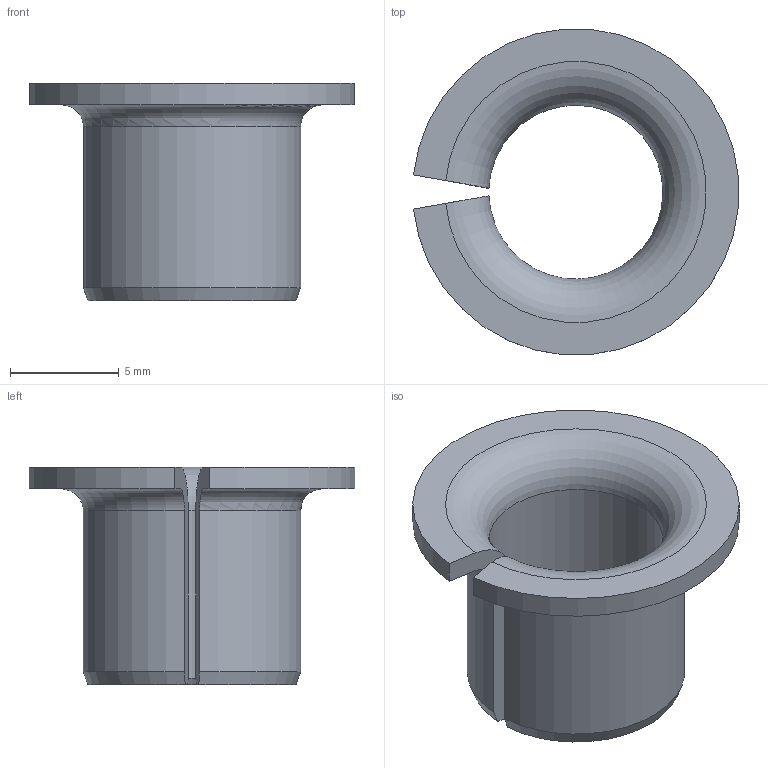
import cadquery as cq
import math

bore_diameter = 8.0
wall = 1.0
flange_diameter = 15.0
length = 10.0
outer_bend_radius = 1.0
lead_in_height = 0.6
lead_in_angle = 20.0
bore_chamfer_height = 0.3
bore_chamfer_angle = 30.0
slit_half_angle = 10.0
slit_apex_x = -3.0

bore_radius = bore_diameter / 2
sleeve_radius = bore_radius + wall
flange_radius = flange_diameter / 2
mouth_radius = outer_bend_radius + wall
lead_in_depth = lead_in_height * math.tan(math.radians(lead_in_angle))
bore_chamfer_depth = bore_chamfer_height * math.tan(math.radians(bore_chamfer_angle))
bend_center_r = sleeve_radius + outer_bend_radius
bend_center_z = length - mouth_radius


def bend_midpoint(radius):
    """Middle of a quarter bend that turns from the sleeve to the flange."""
    offset = radius * math.sqrt(0.5)
    return bend_center_r - offset, bend_center_z + offset


def make_flanged_sleeve():
    """Revolve the wall section about Z, with the seam turned to -X where the slit removes it."""
    profile = (
        cq.Workplane("XZ")
        .moveTo(bore_radius, bore_chamfer_height)
        .lineTo(bore_radius + bore_chamfer_depth, 0)
        .lineTo(sleeve_radius - lead_in_depth, 0)
        .lineTo(sleeve_radius, lead_in_height)
        .lineTo(sleeve_radius, bend_center_z)
        .threePointArc(bend_midpoint(outer_bend_radius), (bend_center_r, length - wall))
        .lineTo(flange_radius, length - wall)
        .lineTo(flange_radius, length)
        .lineTo(bend_center_r, length)
        .threePointArc(bend_midpoint(mouth_radius), (bore_radius, bend_center_z))
        .close()
    )
    sleeve = profile.revolve(360, (0, 0, 0), (0, 1, 0))
    return sleeve.rotate((0, 0, 0), (0, 0, 1), 180)


def make_slit_cutter():
    """Full-height wedge that widens outward through the -X side."""
    end_x = -flange_diameter
    half_width = (slit_apex_x - end_x) * math.tan(math.radians(slit_half_angle))
    return (
        cq.Workplane("XY")
        .moveTo(slit_apex_x, 0)
        .lineTo(end_x, half_width)
        .lineTo(end_x, -half_width)
        .close()
        .extrude(length)
    )


result = make_flanged_sleeve().cut(make_slit_cutter())